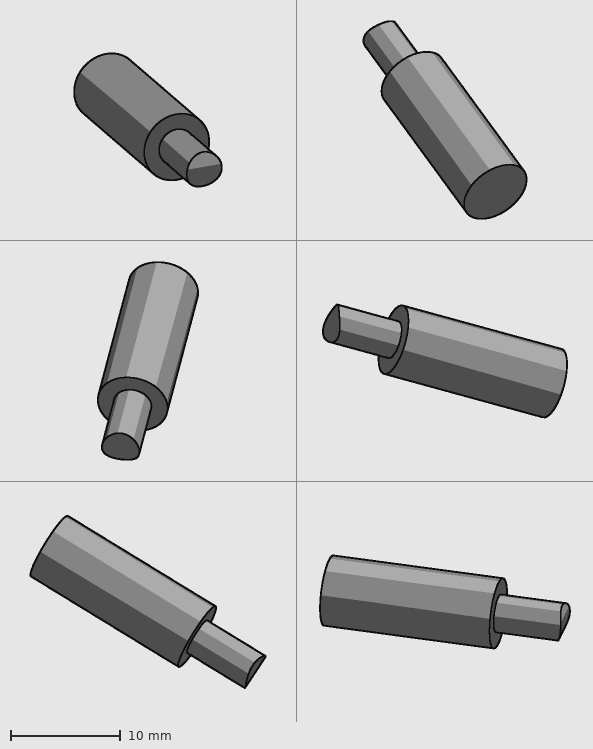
import cadquery as cq

total_length = 22.3
barrel_diameter = 6.5
barrel_length = 16.0
pin_diameter = 3.5
tip_radius = 3.8
tip_crest_height = 0.3

pin_radius = pin_diameter / 2
pin_length = total_length - barrel_length
tip_center_x = total_length - tip_radius


def make_barrel():
    """Plain cylinder along X, starting at X = 0."""
    return cq.Workplane("YZ").circle(barrel_diameter / 2).extrude(barrel_length)


def make_tip_envelope():
    """Bar across Y with a rounded front, which bounds the pin in side profile."""
    tip_bottom = tip_crest_height - tip_radius
    tip_top = tip_crest_height + tip_radius
    return (
        cq.Workplane("XZ")
        .moveTo(barrel_length, tip_bottom)
        .lineTo(tip_center_x, tip_bottom)
        .threePointArc((total_length, tip_crest_height), (tip_center_x, tip_top))
        .lineTo(barrel_length, tip_top)
        .close()
        .extrude(pin_diameter, both=True)
    )


def make_pin():
    """Slim cylinder seated on the barrel's end face, with a tip rounded about Y."""
    blank = cq.Workplane("YZ", origin=(barrel_length, 0, 0)).circle(pin_radius).extrude(pin_length)
    return blank.intersect(make_tip_envelope())


barrel = make_barrel()
pin = make_pin()
result = cq.Compound.makeCompound([barrel.val(), *pin.solids().vals()])